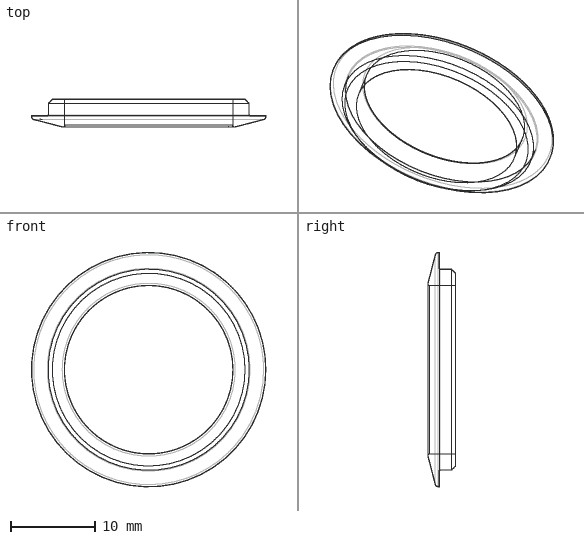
import cadquery as cq
import math

outer_radius = 13.92
hub_radius = 11.95
bore_radius = 10.0
total_depth = 3.3
flange_back = 1.35
cone_angle = 14.5
rim_round = 0.35
bore_round = 0.22
hub_chamfer = 0.5
root_round = 0.1

front = -total_depth / 2
back = front + total_depth
flange_y = front + flange_back
slope = math.tan(math.radians(cone_angle))

crest_radius = bore_radius + bore_round
cone_shift = bore_round * (1 / math.cos(math.radians(cone_angle)) - 1)
bore_corner_y = front - cone_shift - (crest_radius - bore_radius) * slope
rim_corner_y = bore_corner_y + (outer_radius - bore_radius) * slope


def ring_blank():
    """Revolve the sharp-cornered half section about Y."""
    section = [
        (bore_radius, bore_corner_y),
        (outer_radius, rim_corner_y),
        (outer_radius, flange_y),
        (hub_radius, flange_y),
        (hub_radius, back),
        (bore_radius, back),
    ]
    return cq.Workplane("XY").polyline(section).close().revolve(360, (0, 0, 0), (0, 1, 0))


def circle_at(radius, y):
    """Select the circular edge of the given radius at height y along the axis."""
    reach = 0.003
    return cq.selectors.BoxSelector(
        (-radius - reach, y - reach, -radius - reach),
        (radius + reach, y + reach, radius + reach),
        boundingbox=True,
    )


ring = ring_blank()
ring = ring.edges(circle_at(outer_radius, rim_corner_y)).fillet(rim_round)
ring = ring.edges(circle_at(bore_radius, bore_corner_y)).fillet(bore_round)
ring = ring.edges(circle_at(hub_radius, flange_y)).fillet(root_round)

result = ring.faces(">Y").edges(cq.selectors.RadiusNthSelector(-1)).chamfer(hub_chamfer)